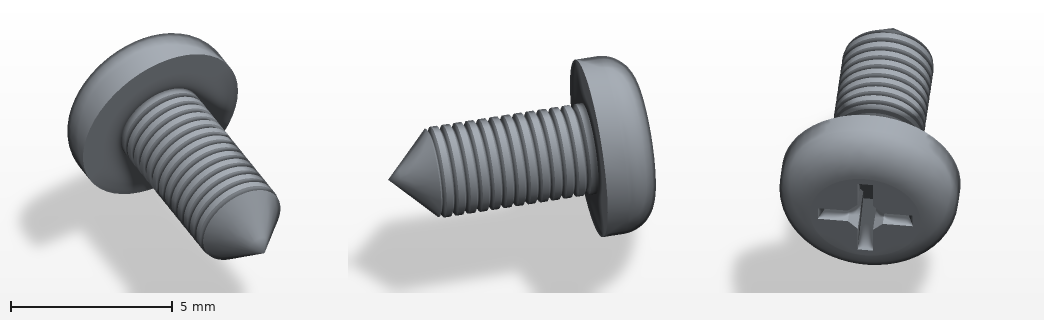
import cadquery as cq
import math

HEAD_DIAMETER = 5.56
HEAD_HEIGHT = 1.727
HEAD_EDGE_RADIUS = 1.06

SHANK_DIAMETER = 2.845
SHANK_LENGTH = 6.35
POINT_HALF_ANGLE = 45.0

GROOVE_COUNT = 13
GROOVE_PITCH = 0.381
FIRST_GROOVE_X = 0.318
GROOVE_WIDTH = 0.182
GROOVE_ANGLE = 60.0

ARM_WIDTH = 0.474
RECESS_SPAN = 2.958
RECESS_FLOOR_SPAN = 1.718
RECESS_DEPTH = 1.6
CORE_CHAMFER = 0.305

head_radius = HEAD_DIAMETER / 2
shank_radius = SHANK_DIAMETER / 2
face_x = -HEAD_HEIGHT
point_length = shank_radius / math.tan(math.radians(POINT_HALF_ANGLE))
arm_half_width = ARM_WIDTH / 2


def make_blank():
    """Head with rounded edge, plain shank and conical point, as one revolved profile."""
    arc_x = face_x + HEAD_EDGE_RADIUS
    arc_y = head_radius - HEAD_EDGE_RADIUS
    arc_reach = HEAD_EDGE_RADIUS * math.sqrt(0.5)
    return (
        cq.Workplane("XY")
        .moveTo(face_x, 0)
        .lineTo(face_x, arc_y)
        .threePointArc((arc_x - arc_reach, arc_y + arc_reach), (arc_x, head_radius))
        .lineTo(0, head_radius)
        .lineTo(0, shank_radius)
        .lineTo(SHANK_LENGTH - point_length, shank_radius)
        .lineTo(SHANK_LENGTH, 0)
        .close()
        .revolve(360, (0, 0, 0), (1, 0, 0))
    )


def make_groove(center_x):
    """Ring of triangular section; its flanks run on past the shank surface for a clean cut."""
    flank_slope = 1 / math.tan(math.radians(GROOVE_ANGLE / 2))
    bottom_radius = shank_radius - GROOVE_WIDTH / 2 * flank_slope
    ring_half_width = GROOVE_WIDTH
    ring_radius = bottom_radius + ring_half_width * flank_slope
    return (
        cq.Workplane("XY")
        .moveTo(center_x, bottom_radius)
        .lineTo(center_x + ring_half_width, ring_radius)
        .lineTo(center_x - ring_half_width, ring_radius)
        .close()
        .revolve(360, (0, 0, 0), (1, 0, 0))
    )


def make_recess_blade():
    """Pair of opposite arms along Y, narrowing in span towards the floor."""
    floor_x = face_x + RECESS_DEPTH
    return (
        cq.Workplane("XY")
        .moveTo(face_x, -RECESS_SPAN / 2)
        .lineTo(face_x, RECESS_SPAN / 2)
        .lineTo(floor_x, RECESS_FLOOR_SPAN / 2)
        .lineTo(floor_x, -RECESS_FLOOR_SPAN / 2)
        .close()
        .extrude(arm_half_width, both=True)
    )


def make_recess_core():
    """Straight octagonal core that bevels the inner corners of the cross."""
    reach = arm_half_width + CORE_CHAMFER
    corners = [
        (reach, arm_half_width),
        (arm_half_width, reach),
        (-arm_half_width, reach),
        (-reach, arm_half_width),
        (-reach, -arm_half_width),
        (-arm_half_width, -reach),
        (arm_half_width, -reach),
        (reach, -arm_half_width),
    ]
    return cq.Workplane("YZ", origin=(face_x, 0, 0)).polyline(corners).close().extrude(RECESS_DEPTH)


def make_recess():
    """Cross recess: two crossed blades joined with the core."""
    blade = make_recess_blade()
    crossed_blade = blade.rotate((0, 0, 0), (1, 0, 0), 90)
    return blade.union(crossed_blade).union(make_recess_core())


screw = make_blank()
for index in range(GROOVE_COUNT):
    screw = screw.cut(make_groove(FIRST_GROOVE_X + index * GROOVE_PITCH))

result = screw.cut(make_recess())